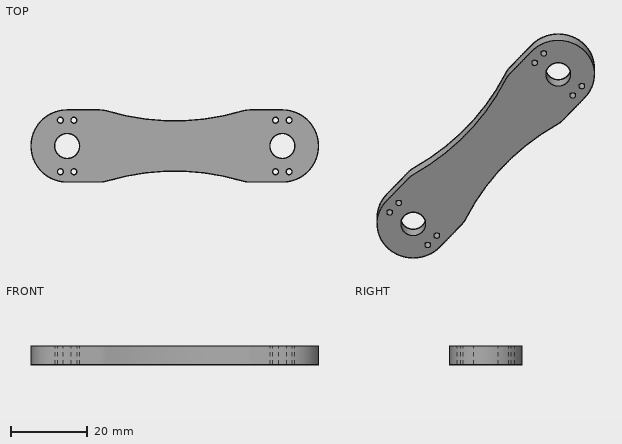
import cadquery as cq
import math

length = 75.4
width = 19.0
thickness = 5.0
waist_width = 13.2
flat_end_x = 19.8
shoulder_radius = 7.55
bore_diameter = 6.5
pin_diameter = 1.5
pin_spacing_x = 3.55
pin_spacing_y = 13.5

end_radius = width / 2
bore_x = length / 2 - end_radius

waist_depth = (width - waist_width) / 2
turn_angle = 2 * math.atan(waist_depth / flat_end_x)
waist_radius = flat_end_x / math.sin(turn_angle) - shoulder_radius
waist_end_x = waist_radius * math.sin(turn_angle)
waist_end_y = end_radius - shoulder_radius * (1 - math.cos(turn_angle))
shoulder_mid_x = flat_end_x - shoulder_radius * math.sin(turn_angle / 2)
shoulder_mid_y = end_radius - shoulder_radius * (1 - math.cos(turn_angle / 2))


def add_long_edge(outline, side):
    """Continue along a long edge: side=1 runs the +Y edge toward +X, side=-1 the -Y edge back."""
    return (
        outline
        .lineTo(-side * flat_end_x, side * end_radius)
        .threePointArc(
            (-side * shoulder_mid_x, side * shoulder_mid_y),
            (-side * waist_end_x, side * waist_end_y),
        )
        .threePointArc((0, side * waist_width / 2), (side * waist_end_x, side * waist_end_y))
        .threePointArc(
            (side * shoulder_mid_x, side * shoulder_mid_y),
            (side * flat_end_x, side * end_radius),
        )
        .lineTo(side * bore_x, side * end_radius)
    )


outline = cq.Workplane("XY").moveTo(-bore_x, end_radius)
outline = add_long_edge(outline, 1)
outline = outline.threePointArc((length / 2, 0), (bore_x, -end_radius))
outline = add_long_edge(outline, -1)
outline = outline.threePointArc((-length / 2, 0), (-bore_x, end_radius))
plate = outline.close().extrude(thickness)

for center_x in (-bore_x, bore_x):
    end_plane = cq.Workplane("XY").center(center_x, 0)
    bore = end_plane.circle(bore_diameter / 2).extrude(thickness)
    pins = (
        end_plane
        .rarray(pin_spacing_x, pin_spacing_y, 2, 2)
        .circle(pin_diameter / 2)
        .extrude(thickness)
    )
    plate = plate.cut(bore).cut(pins)

result = plate